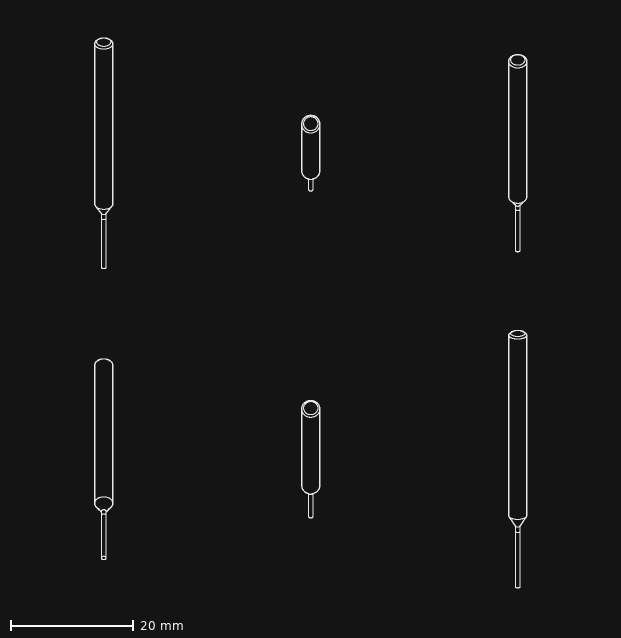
import cadquery as cq
import math

total_length = 46.0

shank_radius = 1.495
top_chamfer = 0.3
taper_top_z = 13.1
neck_bottom_z = 10.2

cutter_radius = 0.4
taper_half_angle = 30.0
point_angle = 118.0

taper_height = (shank_radius - cutter_radius) / math.tan(math.radians(taper_half_angle))
taper_bottom_z = taper_top_z - taper_height
point_height = cutter_radius / math.tan(math.radians(point_angle / 2))


def revolve_profile(points):
    """Revolve a closed (radius, height) outline one full turn about the Z axis."""
    return cq.Workplane("XZ").polyline(points).close().revolve(360, (0, 0), (0, 1))


def make_shank():
    """Gripping cylinder tapering down to the neck that carries the cutter."""
    return revolve_profile([
        (0, neck_bottom_z),
        (cutter_radius, neck_bottom_z),
        (cutter_radius, taper_bottom_z),
        (shank_radius, taper_top_z),
        (shank_radius, total_length - top_chamfer),
        (shank_radius - top_chamfer, total_length),
        (0, total_length),
    ])


def make_cutter():
    """Thin rod with a conical point, meeting the flat end of the neck."""
    return revolve_profile([
        (0, 0),
        (cutter_radius, point_height),
        (cutter_radius, neck_bottom_z),
        (0, neck_bottom_z),
    ])


shank = make_shank()
cutter = make_cutter()

result = cq.Compound.makeCompound([shank.val(), cutter.val()])